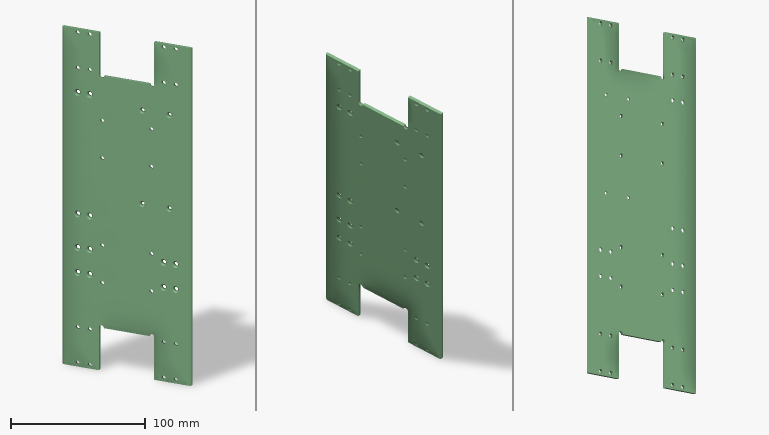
import cadquery as cq

width = 105.0
thickness = 2.5
height = 271.0

side_chamfer = 1.0

notch_width = 45.0
notch_depth = 34.5
relief_radius = 2.0

hole_diameter = 3.3
outer_column_inset = 12.5
column_spacing = 10.0
leg_hole_inset = 3.0
leg_hole_spacing = 28.5
center_column = 20.0
center_rows = (35.0, 65.0)

large_sink_diameter = 5.5
left_sink_rows = (84.5, -13.0)
small_hole_diameter = 2.7
small_sink_diameter = 5.0
small_pattern_x = 23.8
small_pattern_z = 41.5
small_pattern_width = 22.0
small_pattern_height = 75.0
sink_angle = 90

half_height = height / 2
outer_column = width / 2 - outer_column_inset
inner_column = center_column + column_spacing
notch_floor = half_height - notch_depth
relief_x = notch_width / 2 - relief_radius
leg_rows = (half_height - leg_hole_inset, half_height - leg_hole_inset - leg_hole_spacing)
paired_sink_rows = (-outer_column, -outer_column - 2 * column_spacing)


def grid(columns, rows):
    """Every (x, z) crossing of the given columns and rows."""
    return [(x, z) for x in columns for z in rows]


def both_signs(values):
    """The values together with their mirror images about zero."""
    return [sign * value for value in values for sign in (-1, 1)]


def on_front(body):
    """Workplane on the front face, with local axes along X and Z."""
    return body.faces("<Y").workplane(origin=(0, 0, 0))


def cut_notches(body):
    """Cut both end notches and the round reliefs in their corners."""
    notch_centers = grid([0], both_signs([half_height - notch_depth / 2]))
    body = on_front(body).pushPoints(notch_centers).rect(notch_width, notch_depth).cutThruAll()
    relief_centers = grid(both_signs([relief_x]), both_signs([notch_floor]))
    return on_front(body).pushPoints(relief_centers).circle(relief_radius).cutThruAll()


def drill_plain_holes(body):
    """Drill the mounting holes in the legs and the four pairs near the middle."""
    leg_holes = grid(both_signs([outer_column, inner_column]), both_signs(leg_rows))
    center_holes = grid(both_signs([center_column]), both_signs(center_rows))
    return on_front(body).pushPoints(leg_holes + center_holes).hole(hole_diameter)


def drill_countersunk_holes(body):
    """Drill the large and small countersunk screw holes."""
    left_holes = grid([-outer_column, -inner_column], left_sink_rows)
    paired_holes = grid(both_signs([outer_column, inner_column]), paired_sink_rows)
    body = (
        on_front(body)
        .pushPoints(left_holes + paired_holes)
        .cskHole(hole_diameter, large_sink_diameter, sink_angle)
    )
    return (
        on_front(body)
        .center(small_pattern_x, small_pattern_z)
        .rarray(small_pattern_width, small_pattern_height, 2, 2)
        .cskHole(small_hole_diameter, small_sink_diameter, sink_angle)
    )


plate = cq.Workplane("XY").box(width, thickness, height)
plate = plate.faces("<Y").edges("|Z").chamfer(side_chamfer)
plate = cut_notches(plate)
plate = drill_plain_holes(plate)
result = drill_countersunk_holes(plate)